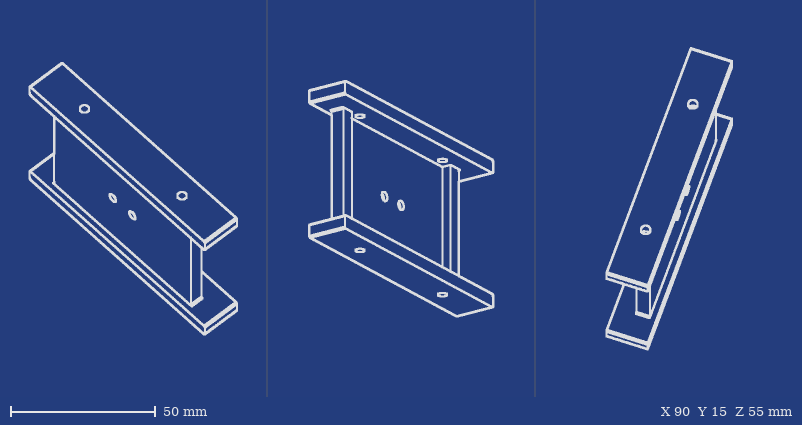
import cadquery as cq

length = 90.0
width = 15.0
height = 55.0
web_thickness = 5.0
web_height = 45.0
flange_thickness = (height - web_height) / 2
web_length = 70.0
edge_size = 0.5
panel_thickness = 1.5
end_rib_width = web_thickness
hole_diameter = 3.2
flange_hole_spacing = 50.0
web_hole_spacing = 10.0


def flange(bottom):
    """Flat bar whose two short ends are chamfered above and below."""
    bar = cq.Workplane("XY").box(length, width, flange_thickness, centered=(True, True, False))
    bar = bar.faces("<X or >X").edges("|Y").chamfer(edge_size)
    return bar.translate((0, 0, bottom))


def web():
    """Upright plate with its back face on the XZ midplane.

    Its two ends flare out at 45 degrees where they meet the flanges. A pocket between
    the flanges leaves a thin front panel and a full-depth rib at each end.
    """
    half_height = web_height / 2
    half_length = web_length / 2
    right_end = [
        (half_length + edge_size, -half_height),
        (half_length, -half_height + edge_size),
        (half_length, half_height - edge_size),
        (half_length + edge_size, half_height),
    ]
    left_end = [(-x, z) for x, z in reversed(right_end)]
    plate = cq.Workplane("XZ").polyline(right_end + left_end).close().extrude(web_thickness)
    pocket_length = web_length - 2 * end_rib_width
    pocket_depth = web_thickness - panel_thickness
    pocket = cq.Workplane("XZ").rect(pocket_length, web_height).extrude(pocket_depth)
    return plate.cut(pocket)


def hole_pair(plane, spacing, depth):
    """Two round cutters spaced along X, reaching half the depth each way."""
    centres = [(-spacing / 2, 0), (spacing / 2, 0)]
    return cq.Workplane(plane).pushPoints(centres).circle(hole_diameter / 2).extrude(depth / 2, both=True)


body = web().union(flange(-height / 2)).union(flange(height / 2 - flange_thickness))

body = body.cut(hole_pair("XY", flange_hole_spacing, height))
result = body.cut(hole_pair("XZ", web_hole_spacing, width))